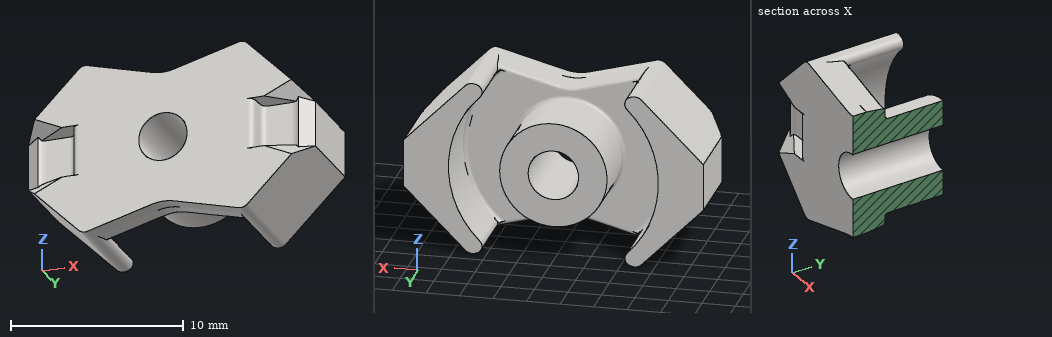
import cadquery as cq
import math

length = 17.9
depth = 6.25
height = 10.58

end_half_height = 1.43
edge_slope = math.tan(math.radians(15))
corner_radius = 0.59
waist_radius = 2.63

floor_y = 2.24
winding_radius = 6.26
post_radius = 3.2
bore_radius = 1.5
leg_tip_radius = 0.47
leg_inner_reach = 4.48
root_fillet = 0.23

relief_start_y = 0.95
relief_drop = 0.16
bridge_half_length = 4.69
bridge_edge_fillet = 0.21

recess_inner_x = 5.28
recess_depth = 1.04
recess_wall_draft = math.radians(15)
recess_wall_radius = 0.4
recess_floor_x = 6.15
recess_sweep_x = 7.63
crest_x = 8.1
crest_depth = 0.86
recess_end_depth = 1.45
recess_half_height = 1.58
recess_floor_half_height = 1.38
flare_inner_x = 6.3
flare_slope = 0.46
flare_depth_slope = 0.95

half_length = length / 2
half_height = height / 2
flank_sum = half_length + end_half_height
overrun = 0.35

corner_center_z = half_height - corner_radius
corner_center_x = flank_sum - corner_radius * math.sqrt(2) - corner_center_z
edge_offset = corner_radius * math.hypot(1, edge_slope)
waist_z = corner_center_z + edge_offset - edge_slope * corner_center_x
corner_x = (flank_sum - waist_z) / (1 + edge_slope)
corner_z = flank_sum - corner_x


def section(points, y):
    """Workplane at the given Y carrying a closed outline of (x, z) points."""
    return cq.Workplane("XZ", origin=(0, y, 0)).polyline(points).close()


def prism(points, start_y, end_y):
    return section(points, start_y).extrude(start_y - end_y)


def loft_between(front_points, start_y, back_points, end_y):
    front = section(front_points, start_y).wires().val()
    back = section(back_points, end_y).wires().val()
    return cq.Workplane(cq.Solid.makeLoft([front, back], True))


def cylinder(radius, start_y, end_y):
    return cq.Workplane("XZ", origin=(0, start_y, 0)).circle(radius).extrude(start_y - end_y)


def mirrored(points):
    """Close the upper (x, z) points with their mirror image below Z = 0."""
    return points + [(x, -z) for x, z in reversed(points)]


def waist_box():
    return cq.selectors.BoxSelector((-0.18, -0.18, -half_height), (0.18, depth + 0.18, half_height))


def body_prism(start_y, end_y):
    upper = [
        (-half_length, end_half_height),
        (-corner_x, corner_z),
        (0, waist_z),
        (corner_x, corner_z),
        (half_length, end_half_height),
    ]
    body = prism(mirrored(upper), start_y, end_y)
    body = body.edges("|Y").edges(waist_box()).fillet(waist_radius)
    return body.edges("|Y").edges(">Z or <Z").fillet(corner_radius)


def bow_points(half_span, drop):
    """Bow-tie outline parallel to the waist edges, drop below them, ending at |X| = half_span."""
    end_z = waist_z + edge_slope * half_span - drop
    upper = [(-half_span, end_z), (0, waist_z - drop), (half_span, end_z)]
    return mirrored(upper)


def make_legs():
    legs = body_prism(relief_start_y, depth).cut(cylinder(winding_radius, relief_start_y, depth))
    tip_box = cq.selectors.BoxSelector(
        (-leg_inner_reach, 0, -half_height),
        (leg_inner_reach, depth, half_height),
    )
    return legs.edges("|Y").edges(tip_box).fillet(leg_tip_radius)


def make_bridge():
    front_points = bow_points(bridge_half_length, 0)
    back_points = bow_points(bridge_half_length, relief_drop)
    bridge = loft_between(front_points, relief_start_y, back_points, floor_y)
    waist_edges = bridge.edges(waist_box()).edges("not(#Y)")
    bridge = waist_edges.fillet(waist_radius)
    long_edges = bridge.faces(">Y").edges("not(|Z)")
    return long_edges.fillet(bridge_edge_fillet)


def floor_prism():
    """Prism that keeps the winding floor and root fillets clear of the rounded bridge edges."""
    return prism(bow_points(winding_radius, relief_drop + bridge_edge_fillet), 0, depth)


def make_root_fillet(wall_radius, side):
    """Concave ring where a round wall meets the floor; side is +1 outward, -1 inward."""
    ring = (
        cq.Workplane("XY")
        .moveTo(wall_radius, floor_y)
        .lineTo(wall_radius + side * root_fillet, floor_y)
        .radiusArc((wall_radius, floor_y + root_fillet), side * root_fillet)
        .close()
        .revolve(360, (0, 0), (0, 1))
    )
    return ring.intersect(floor_prism())


def make_recess():
    """Cutter for the recess at the +X end."""
    ramp_slope = (recess_end_depth - crest_depth) / (half_length - crest_x)
    end_x = half_length + overrun
    back_y = recess_end_depth + ramp_slope * overrun
    bend_run = recess_wall_radius * math.cos(recess_wall_draft)
    bend_rise = recess_wall_radius * (1 - math.sin(recess_wall_draft))
    profile = (
        cq.Workplane("XY", origin=(0, 0, -half_height))
        .moveTo(recess_inner_x, 0)
        .radiusArc((recess_inner_x + bend_run, bend_rise), -recess_wall_radius)
        .lineTo(recess_floor_x - bend_run, recess_depth - bend_rise)
        .radiusArc((recess_floor_x, recess_depth), recess_wall_radius)
        .lineTo(recess_sweep_x, recess_depth)
        .tangentArcPoint((crest_x, crest_depth), relative=False)
        .lineTo(end_x, back_y)
        .lineTo(end_x, 0)
        .close()
        .extrude(height)
    )
    draft = (recess_half_height - recess_floor_half_height) / recess_depth

    def channel_points(y):
        half = recess_half_height - draft * y
        return mirrored([(recess_inner_x - overrun, half), (end_x, half)])

    def flare_points(y):
        inner = recess_half_height
        outer = inner + flare_slope * (end_x - flare_inner_x) - flare_depth_slope * y
        tip_x = flare_inner_x - inner / flare_slope + flare_depth_slope * y / flare_slope
        return [(tip_x, 0), (end_x, outer), (end_x, -outer)]

    channel = loft_between(channel_points(0), 0, channel_points(back_y), back_y)
    flare = loft_between(flare_points(0), 0, flare_points(back_y), back_y)
    return profile.intersect(channel.union(flare))


result = body_prism(0, relief_start_y).union(make_legs()).union(make_bridge())
result = result.union(cylinder(winding_radius, 0, floor_y).intersect(floor_prism()))
result = result.union(cylinder(post_radius, 0, depth))
result = result.union(make_root_fillet(post_radius, 1))
result = result.union(make_root_fillet(winding_radius, -1))
result = result.cut(cylinder(bore_radius, 0, depth))
recess = make_recess()
result = result.cut(recess).cut(recess.mirror("YZ"))